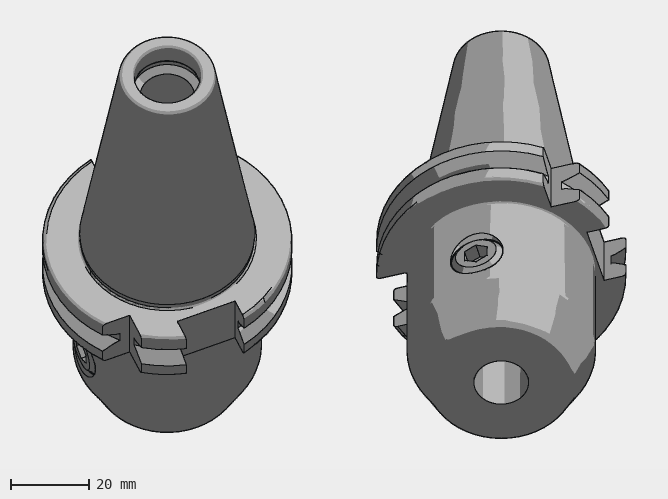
import cadquery as cq
import math


TOTAL_LENGTH = 131.4

TAPER_LENGTH = 68.3
GAUGE_RADIUS = 22.2
TAPER_SLOPE = 7 / 48
TIP_FILLET = 1.0
TAPER_END = -1.0
NECK_TOP = -1.8
NECK_RADIUS = 22.2
NECK_FILLET = 0.5

FLANGE_RADIUS = 31.8
FLANGE_TOP = -3.2
FLANGE_BOTTOM = -19.2
FLANGE_FILLET = 1.0
GROOVE_FLOOR_RADIUS = 28.0
GROOVE_MID_Z = (FLANGE_TOP + FLANGE_BOTTOM) / 2
GROOVE_FLOOR_HALF = 1.5
GROOVE_LEDGE_RADIUS = 29.0
GROOVE_LEDGE_HALF = 1.8
GROOVE_MOUTH_HALF = 3.5

SLOT_WIDTH = 16.0
SLOT_FLOOR_LEFT = 22.7
SLOT_FLOOR_RIGHT = 25.0
NOTCH_INNER = 18.4

BODY_RADIUS = 24.0
BODY_FILLET = 0.8
NOSE_Z = TAPER_LENGTH - TOTAL_LENGTH
CONE_TOP = -50.2
NOSE_RADIUS = 18.4
CONE_FILLET = 2.0
NOSE_FILLET = 2.4

BORE_RADIUS = 7.0
COUNTERBORE_RADIUS = 8.4
COUNTERBORE_DEPTH = 5.5
COUNTERBORE_FILLET = 0.9
UNDERCUT_RADIUS = 9.1
UNDERCUT_TOP_DEPTH = 6.7
UNDERCUT_BOTTOM_DEPTH = 8.1
SEAT_ANGLE = math.radians(30)

SCREW_Z = -39.0
SCREW_SINK_RADIUS = 8.0
SCREW_RADIUS = 6.8
SCREW_FACE_RADIUS = 5.4
SCREW_FACE = 23.9
SCREW_SHOULDER = SCREW_FACE - (SCREW_RADIUS - SCREW_FACE_RADIUS)
HEX_FLATS = 6.0
HEX_DEPTH = 4.0
RECESS_Z = -38.1
RECESS_RADIUS = 7.5
RECESS_DEPTH = 4.0

ARC_MID = 1 - math.sqrt(0.5)


def revolve(points):
    return cq.Workplane("XZ").polyline(points).close().revolve(360, (0, 0), (0, 1))


def block(x_range, y_range, z_range):
    size = [high - low for low, high in (x_range, y_range, z_range)]
    return cq.Workplane("XY").box(*size, centered=False).translate((x_range[0], y_range[0], z_range[0]))


def taper():
    tip_radius = GAUGE_RADIUS - TAPER_SLOPE * TAPER_LENGTH
    base_radius = GAUGE_RADIUS - TAPER_SLOPE * TAPER_END
    solid = revolve([
        (0, FLANGE_TOP),
        (NECK_RADIUS, FLANGE_TOP),
        (NECK_RADIUS, NECK_TOP),
        (base_radius, TAPER_END),
        (tip_radius, TAPER_LENGTH),
        (0, TAPER_LENGTH),
    ])
    return solid.faces(">Z").edges().fillet(TIP_FILLET)


def flange():
    disc = (
        cq.Workplane("XY", origin=(0, 0, FLANGE_BOTTOM))
        .circle(FLANGE_RADIUS)
        .extrude(FLANGE_TOP - FLANGE_BOTTOM)
        .edges()
        .fillet(FLANGE_FILLET)
    )
    upper_side = [
        (FLANGE_RADIUS, GROOVE_MOUTH_HALF),
        (GROOVE_LEDGE_RADIUS, GROOVE_LEDGE_HALF),
        (GROOVE_FLOOR_RADIUS, GROOVE_FLOOR_HALF),
    ]
    lower_side = [(radius, -height) for radius, height in reversed(upper_side)]
    groove = revolve(upper_side + lower_side).translate((0, 0, GROOVE_MID_Z))
    return disc.cut(groove)


def body():
    solid = revolve([
        (0, NOSE_Z),
        (NOSE_RADIUS, NOSE_Z),
        (BODY_RADIUS, CONE_TOP),
        (BODY_RADIUS, FLANGE_BOTTOM),
        (0, FLANGE_BOTTOM),
    ])
    cone_edge = cq.selectors.BoxSelector(
        (-FLANGE_RADIUS, -FLANGE_RADIUS, CONE_TOP - CONE_FILLET),
        (FLANGE_RADIUS, FLANGE_RADIUS, CONE_TOP + CONE_FILLET),
        boundingbox=True,
    )
    return solid.edges(cone_edge).fillet(CONE_FILLET).faces("<Z").edges().fillet(NOSE_FILLET)


def corner_fillet(radius, face_z, size):
    """Ring filling the corner between a cylinder and a flange face; a negative size points down."""
    reach = abs(size)
    return (
        cq.Workplane("XZ")
        .moveTo(radius, face_z)
        .lineTo(radius, face_z + size)
        .threePointArc((radius + ARC_MID * reach, face_z + ARC_MID * size), (radius + reach, face_z))
        .close()
        .revolve(360, (0, 0), (0, 1))
    )


def drive_slot(side, floor):
    """Full-height flange slot with a round lower end centred at the flange underside."""
    straight = block((floor, FLANGE_RADIUS), (-SLOT_WIDTH / 2, SLOT_WIDTH / 2), (FLANGE_BOTTOM, FLANGE_TOP))
    round_end = (
        cq.Workplane("YZ", origin=(floor, 0, FLANGE_BOTTOM))
        .circle(SLOT_WIDTH / 2)
        .extrude(FLANGE_RADIUS - floor)
    )
    slot = straight.union(round_end)
    return slot if side > 0 else slot.mirror("YZ")


def orientation_notch():
    return block(
        (NOTCH_INNER, FLANGE_RADIUS), (-FLANGE_RADIUS, -NOTCH_INNER), (FLANGE_BOTTOM, FLANGE_TOP)
    )


def axial_hole():
    mouth = TAPER_LENGTH
    seat_drop = (UNDERCUT_RADIUS - BORE_RADIUS) * math.tan(SEAT_ANGLE)
    mouth_radius = COUNTERBORE_RADIUS + COUNTERBORE_FILLET
    arc_offset = COUNTERBORE_FILLET * ARC_MID
    return (
        cq.Workplane("XZ")
        .moveTo(0, NOSE_Z)
        .lineTo(BORE_RADIUS, NOSE_Z)
        .lineTo(BORE_RADIUS, mouth - UNDERCUT_BOTTOM_DEPTH - seat_drop)
        .lineTo(UNDERCUT_RADIUS, mouth - UNDERCUT_BOTTOM_DEPTH)
        .lineTo(UNDERCUT_RADIUS, mouth - UNDERCUT_TOP_DEPTH)
        .lineTo(COUNTERBORE_RADIUS, mouth - COUNTERBORE_DEPTH)
        .lineTo(COUNTERBORE_RADIUS, mouth - COUNTERBORE_FILLET)
        .threePointArc(
            (COUNTERBORE_RADIUS + arc_offset, mouth - arc_offset), (mouth_radius, mouth)
        )
        .lineTo(0, mouth)
        .close()
        .revolve(360, (0, 0), (0, 1))
    )


def turn_to_front(solid):
    """Swing a solid standing on Z onto the screw axis, pointing to -Y."""
    return solid.rotate((0, 0, 0), (1, 0, 0), 90).translate((0, 0, SCREW_Z))


def screw_hole():
    """Screw hole with a 45 degree countersink at the body surface."""
    hole = revolve([
        (0, SCREW_SHOULDER),
        (SCREW_RADIUS, SCREW_SHOULDER),
        (SCREW_RADIUS, BODY_RADIUS - (SCREW_SINK_RADIUS - SCREW_RADIUS)),
        (SCREW_SINK_RADIUS, BODY_RADIUS),
        (0, BODY_RADIUS),
    ])
    return turn_to_front(hole)


def screw_head():
    head = revolve([
        (0, SCREW_SHOULDER),
        (SCREW_RADIUS, SCREW_SHOULDER),
        (SCREW_FACE_RADIUS, SCREW_FACE),
        (0, SCREW_FACE),
    ])
    return turn_to_front(head)


def screw_hexagon():
    """Hexagon socket with its corners up and down."""
    socket = (
        cq.Workplane("XY", origin=(0, 0, SCREW_FACE))
        .transformed(rotate=(0, 0, 90))
        .polygon(6, HEX_FLATS / math.cos(math.pi / 6))
        .extrude(-HEX_DEPTH)
    )
    return turn_to_front(socket)


def rear_recess():
    return (
        cq.Workplane("XZ", origin=(0, BODY_RADIUS, RECESS_Z))
        .circle(RECESS_RADIUS)
        .extrude(RECESS_DEPTH)
    )


result = (
    taper()
    .union(flange())
    .union(body())
    .union(corner_fillet(NECK_RADIUS, FLANGE_TOP, NECK_FILLET))
    .union(corner_fillet(BODY_RADIUS, FLANGE_BOTTOM, -BODY_FILLET))
    .cut(drive_slot(-1, SLOT_FLOOR_LEFT))
    .cut(drive_slot(1, SLOT_FLOOR_RIGHT))
    .cut(orientation_notch())
    .cut(axial_hole())
    .cut(screw_hole())
    .union(screw_head())
    .cut(screw_hexagon())
    .cut(rear_recess())
)